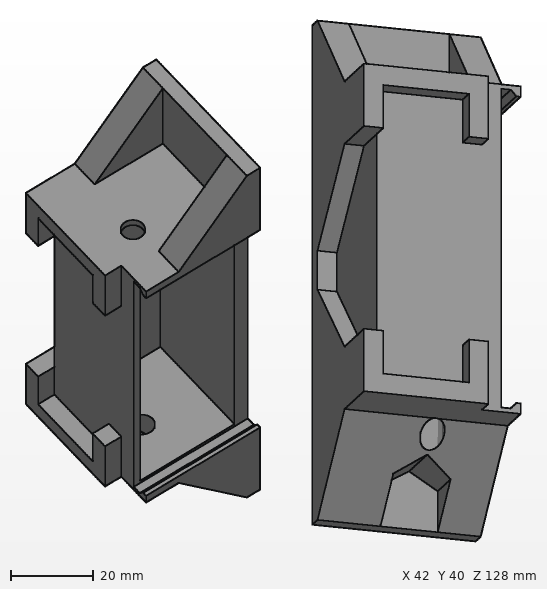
import cadquery as cq

width = 42.0
depth = 40.0
height = 128.0

plate_thickness = 4.1
slope_depth = 25.0
end_height = 22.0
wall = 5.0
shell_thickness = 2.0
face_depth = depth - wall
body_bottom = end_height
body_top = height - end_height
mid_height = height / 2

frame_right = 32.0
lip_left = frame_right - wall
bracket_reach = 16.0
opening_bottom = body_bottom + bracket_reach
opening_top = body_top - bracket_reach

relief_back_half_height = 5.0

recess_left = width - wall
hook_thickness = 1.2
lip_height = 1.5
lip_base_width = 2.5
lip_tip_width = 1.2

rib_width = 8.1

hole_diameter = 6.0
top_hole_x = 24.8
top_hole_depth = 26.0
bottom_hole_x = 23.5
bottom_hole_depth = 22.0
notch_width = 14.7
notch_side_height = 10.5
notch_peak_height = 14.9


def box(x_min, x_max, depth_min, depth_max, z_min, z_max):
    """Box whose depth limits are measured forward from the back face."""
    size = (x_max - x_min, depth_max - depth_min, z_max - z_min)
    return cq.Workplane("XY").box(*size, centered=False).translate((x_min, -depth_max, z_min))


def side_prism(points, length):
    """Extrude a (depth, Z) outline along +X from the left side."""
    outline = [(-point_depth, z) for point_depth, z in points]
    return cq.Workplane("YZ").polyline(outline).close().extrude(length)


def front_prism(points, depth_min, depth_max):
    """Extrude an (X, Z) outline forward between two depths."""
    prism = cq.Workplane("XZ").polyline(points).close().extrude(depth_max - depth_min)
    return prism.translate((0, -depth_min, 0))


def main_body():
    """Back plate, sloped ends and the block up to the front face."""
    return side_prism(
        [
            (0, 0),
            (plate_thickness, 0),
            (slope_depth, body_bottom),
            (face_depth, body_bottom),
            (face_depth, body_top),
            (slope_depth, body_top),
            (plate_thickness, height),
            (0, height),
        ],
        width,
    )


def front_frame():
    """Two facing brackets standing proud of the front face."""
    frame = box(0, frame_right, face_depth, depth, body_bottom, body_top)
    window = box(wall, lip_left, face_depth, depth, body_bottom + wall, body_top - wall)
    gap = box(0, frame_right, face_depth, depth, opening_bottom, opening_top)
    return frame.cut(window).cut(gap)


def left_relief():
    """Relief in the left side that tapers toward the back plate."""
    return side_prism(
        [
            (depth, opening_bottom),
            (slope_depth, opening_bottom),
            (plate_thickness, mid_height - relief_back_half_height),
            (plate_thickness, mid_height + relief_back_half_height),
            (slope_depth, opening_top),
            (depth, opening_top),
        ],
        wall,
    )


def right_recess():
    """Recess through the right side, leaving a hooked lip at each end."""
    bottom = body_bottom + hook_thickness
    top = body_top - hook_thickness
    lip_base_x = width - lip_base_width
    lip_tip_x = width - lip_tip_width
    points = [
        (recess_left, bottom),
        (lip_base_x, bottom),
        (lip_tip_x, bottom + lip_height),
        (width, bottom + lip_height),
        (width, top - lip_height),
        (lip_tip_x, top - lip_height),
        (lip_base_x, top),
        (recess_left, top),
    ]
    return front_prism(points, 0, depth)


def upper_pocket():
    return box(rib_width, width - rib_width, plate_thickness, depth, body_top, height)


def inner_cavity():
    """Thin-walled compartment that opens into the right recess."""
    return box(
        wall + shell_thickness,
        recess_left,
        plate_thickness,
        face_depth - shell_thickness,
        body_bottom + shell_thickness,
        body_top - shell_thickness,
    )


def wire_hole(x, hole_depth, z_min, z_max):
    """Vertical hole between two heights."""
    hole = cq.Workplane("XY").circle(hole_diameter / 2).extrude(z_max - z_min)
    return hole.translate((x, -hole_depth, z_min))


def keyhole_notch():
    """Peaked notch in the lower slope, open at the base."""
    left = bottom_hole_x - notch_width / 2
    right = bottom_hole_x + notch_width / 2
    points = [
        (left, 0),
        (right, 0),
        (right, notch_side_height),
        (bottom_hole_x, notch_peak_height),
        (left, notch_side_height),
    ]
    return front_prism(points, plate_thickness, depth)


body = main_body().cut(upper_pocket()).union(front_frame())
body = body.cut(left_relief()).cut(right_recess()).cut(inner_cavity()).cut(keyhole_notch())

body = body.cut(wire_hole(top_hole_x, top_hole_depth, mid_height, height))
result = body.cut(wire_hole(bottom_hole_x, bottom_hole_depth, 0, mid_height))